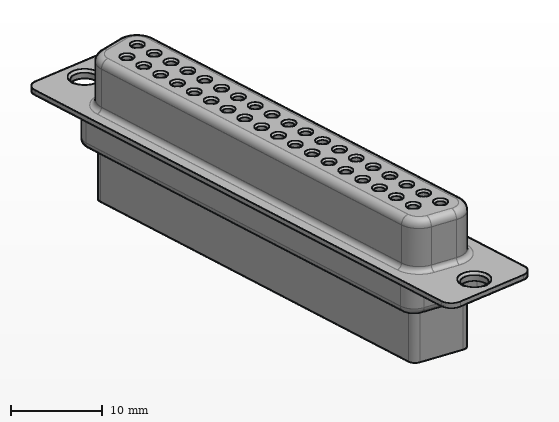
import cadquery as cq
import math


total_height = 17.8
flange_top = 11.5
flange_thickness = 0.6
flange_bottom = flange_top - flange_thickness
rear_shell_bottom = 6.7

flange_length = 69.2
flange_width = 12.2
flange_corner_radius = 1.45
mounting_hole_offset = 31.75
mounting_hole_diameter = 3.1
mounting_sink_diameter = 3.75
mounting_pad_diameter = 4.6
mounting_pad_height = 0.4

side_angle = math.radians(10)
front_shell_size = (55.15, 8.3, 2.55)
rear_shell_size = (57.65, 10.7, 2.0)
insulator_size = (54.1, 7.4, 1.0)

edge_radius = 1.0
root_radius = 0.6

contact_row_length = 49.4
contact_row_offset = 1.4
wide_row_count = 19
narrow_row_count = wide_row_count - 1
contact_pitch = contact_row_length / (wide_row_count - 1)
contact_hole_diameter = 1.2
contact_sink_diameter = 1.65

sink_half_angle = 45


def d_prism(size, bottom, top):
    """Prism with a rounded D outline, its long side towards +Y."""
    length, width, radius = size
    half_width = width / 2
    arc_x = length / 2 - radius
    arc_y = half_width - radius
    side_distance = arc_x * math.cos(side_angle) - arc_y * math.sin(side_angle) + radius
    middle_x = side_distance / math.cos(side_angle)
    slant = half_width * math.tan(side_angle)
    wide_x = middle_x + slant
    narrow_x = middle_x - slant
    return (
        cq.Workplane("XY", origin=(0, 0, bottom))
        .polyline([
            (-wide_x, half_width),
            (-narrow_x, -half_width),
            (narrow_x, -half_width),
            (wide_x, half_width),
        ])
        .close()
        .extrude(top - bottom)
        .edges("|Z")
        .fillet(radius)
    )


def make_flange():
    return (
        cq.Workplane("XY", origin=(0, 0, flange_bottom))
        .rect(flange_length, flange_width)
        .extrude(flange_thickness)
        .edges("|Z")
        .fillet(flange_corner_radius)
    )


def contact_row(count, y):
    first_x = -contact_pitch * (count - 1) / 2
    return [(first_x + i * contact_pitch, y) for i in range(count)]


def cut_countersunk_holes(solid, points, face_height, hole_diameter, sink_diameter):
    """Cut countersunk holes from face_height through to the rear face."""
    sink_depth = (sink_diameter - hole_diameter) / 2 / math.tan(math.radians(sink_half_angle))
    face = cq.Workplane("XY", origin=(0, 0, face_height)).pushPoints(points)
    holes = face.circle(hole_diameter / 2).extrude(-face_height)
    sinks = face.circle(sink_diameter / 2).extrude(-sink_depth, taper=sink_half_angle)
    return solid.cut(holes).cut(sinks)


front_shell = d_prism(front_shell_size, flange_top, total_height).faces(">Z").edges().fillet(edge_radius)
rear_shell = d_prism(rear_shell_size, rear_shell_bottom, flange_bottom).faces("<Z").edges().fillet(edge_radius)
body = make_flange().union(front_shell).union(rear_shell)

selection_margin = 0.1
for root_height, size in ((flange_top, front_shell_size), (flange_bottom, rear_shell_size)):
    half_length = size[0] / 2 + selection_margin
    half_width = size[1] / 2 + selection_margin
    root_edges = cq.selectors.BoxSelector(
        (-half_length, -half_width, root_height - selection_margin),
        (half_length, half_width, root_height + selection_margin),
        boundingbox=True,
    )
    body = body.edges(root_edges).fillet(root_radius)

body = body.union(d_prism(insulator_size, 0, flange_bottom))

mounting_points = [(-mounting_hole_offset, 0), (mounting_hole_offset, 0)]
pads = (
    cq.Workplane("XY", origin=(0, 0, flange_bottom - mounting_pad_height))
    .pushPoints(mounting_points)
    .circle(mounting_pad_diameter / 2)
    .extrude(mounting_pad_height)
)
body = body.union(pads)

body = cut_countersunk_holes(
    body, mounting_points, flange_top, mounting_hole_diameter, mounting_sink_diameter
)

contact_points = contact_row(wide_row_count, contact_row_offset)
contact_points += contact_row(narrow_row_count, -contact_row_offset)
result = cut_countersunk_holes(
    body, contact_points, total_height, contact_hole_diameter, contact_sink_diameter
)